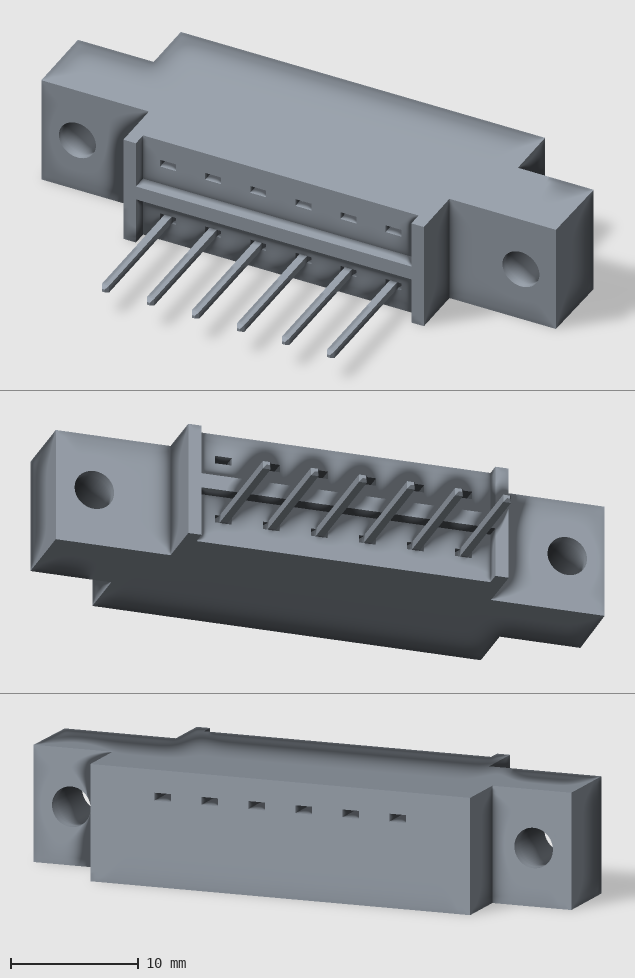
import cadquery as cq


housing_height = 9.4
front_width = 26.4
front_depth = 4.37
ear_span = 45.31
ear_depth = 6.27
ear_end_taper = 0.10
rear_width = 32.0
rear_depth = 4.64
ear_front = front_depth
ear_rear = ear_front + ear_depth
housing_depth = ear_rear + rear_depth

hole_diameter = 3.25
hole_spacing = 38.96

recess_width = 24.2
recess_depth = 1.23
rib_height = 1.22
recess_height = (housing_height - rib_height) / 2

contact_count = 6
contact_pitch = 3.96
slot_width = 1.40
slot_height = 0.635
row_offset = 2.54
contact_xs = [(i - (contact_count - 1) / 2) * contact_pitch for i in range(contact_count)]

pin_size = slot_height
pin_reach = 9.87
tip_length = 0.38
tip_inset = 0.19
shoulder_setback = 0.2
shoulder_y = recess_depth + shoulder_setback
shoulder_length = 1.0


def make_housing():
    half_front = front_width / 2
    half_ear = ear_span / 2
    half_rear = rear_width / 2
    outline = [
        (-half_front, 0),
        (half_front, 0),
        (half_front, ear_front),
        (half_ear - ear_end_taper, ear_front),
        (half_ear, ear_rear),
        (half_rear, ear_rear),
        (half_rear, housing_depth),
        (-half_rear, housing_depth),
        (-half_rear, ear_rear),
        (-half_ear, ear_rear),
        (-half_ear, ear_front),
        (-half_front, ear_front),
    ]
    body = cq.Workplane("XY").polyline(outline).close().extrude(housing_height / 2, both=True)

    for side in (-1, 1):
        hole = (
            cq.Workplane("XZ")
            .center(side * hole_spacing / 2, 0)
            .circle(hole_diameter / 2)
            .extrude(-housing_depth)
        )
        recess_z = side * (rib_height + recess_height) / 2
        recess = cq.Workplane("XY").box(recess_width, recess_depth, recess_height)
        recess = recess.translate((0, recess_depth / 2, recess_z))
        slots = (
            cq.Workplane("XZ")
            .pushPoints([(x, side * row_offset) for x in contact_xs])
            .rect(slot_width, slot_height)
            .extrude(-housing_depth)
        )
        body = body.cut(hole).cut(recess).cut(slots)
    return body


def make_contact(x):
    """One contact in the lower row, its pin pointing towards -Y."""
    half_blade = slot_width / 2
    half_pin = pin_size / 2
    tip_base_y = tip_length - pin_reach
    shoulder_rear_y = shoulder_y + shoulder_length
    outline = [
        (-half_pin, tip_base_y),
        (half_pin, tip_base_y),
        (half_pin, shoulder_y),
        (half_blade, shoulder_rear_y),
        (half_blade, housing_depth),
        (-half_blade, housing_depth),
        (-half_blade, shoulder_rear_y),
        (-half_pin, shoulder_y),
    ]
    shank = cq.Workplane("XY").polyline(outline).close().extrude(half_pin, both=True)
    tip_end_size = pin_size - 2 * tip_inset
    tip = (
        cq.Workplane("XZ", origin=(0, tip_base_y, 0))
        .rect(pin_size, pin_size)
        .workplane(offset=tip_length)
        .rect(tip_end_size, tip_end_size)
        .loft(ruled=True)
    )
    return shank.union(tip).translate((x, 0, -row_offset))


housing = make_housing()
contacts = [make_contact(x) for x in contact_xs]

result = cq.Compound.makeCompound([housing.val(), *[contact.val() for contact in contacts]])